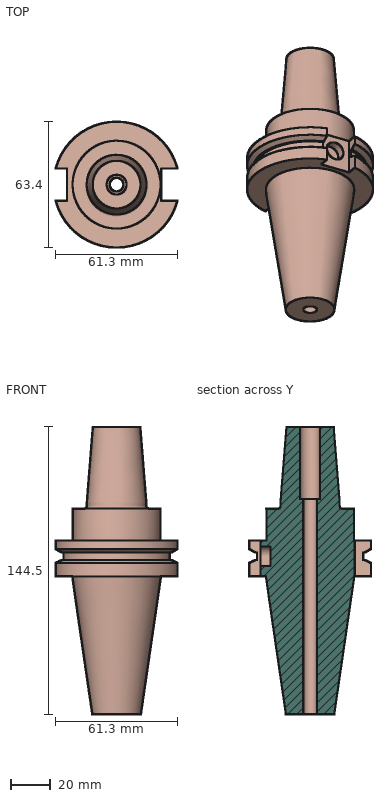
import cadquery as cq

total_height = 144.5
gauge_level = 68.5
flange_bottom = 69.3
groove_lower_edge = 76.1
groove_floor_bottom = 77.5
groove_floor_top = 81.3
groove_upper_edge = 83.0
flange_top = 87.4
collar_top = 103.4
nose_base_level = 106.5

gauge_diameter = 44.5
shank_taper = 7 / 24
flange_diameter = 63.4
groove_diameter = 55.9
groove_ledge_diameter = 57.5
collar_diameter = 44.2
nose_base_diameter = 30.0
nose_tip_diameter = 24.0
nose_fillet = 1.3

tool_bore_diameter = 10.0
tool_bore_depth = 36.1
through_bore_diameter = 6.8

slot_width = 16.2
left_slot_floor = 25.0
right_slot_floor = 22.5

side_hole_diameter = 9.5
side_hole_depth = 5.0
side_hole_level = (groove_floor_bottom + groove_floor_top) / 2


def make_body():
    """Revolve the outer profile of shank, flange, collar and nose."""
    shank_end_radius = (gauge_diameter - gauge_level * shank_taper) / 2
    gauge_radius = gauge_diameter / 2
    flange_radius = flange_diameter / 2
    groove_radius = groove_diameter / 2
    ledge_radius = groove_ledge_diameter / 2
    collar_radius = collar_diameter / 2
    nose_radius = nose_base_diameter / 2
    profile = (
        cq.Workplane("XZ")
        .lineTo(shank_end_radius, 0)
        .lineTo(gauge_radius, gauge_level)
        .lineTo(gauge_radius, flange_bottom)
        .lineTo(flange_radius, flange_bottom)
        .lineTo(flange_radius, groove_lower_edge)
        .lineTo(ledge_radius, groove_floor_bottom)
        .lineTo(groove_radius, groove_floor_bottom)
        .lineTo(groove_radius, groove_floor_top)
        .lineTo(ledge_radius, groove_floor_top)
        .lineTo(flange_radius, groove_upper_edge)
        .lineTo(flange_radius, flange_top)
        .lineTo(collar_radius, flange_top)
        .lineTo(collar_radius, collar_top)
        .lineTo(nose_radius + nose_fillet, collar_top)
        .radiusArc((nose_radius, collar_top + nose_fillet), nose_fillet)
        .lineTo(nose_radius, nose_base_level)
        .lineTo(nose_tip_diameter / 2, total_height)
        .lineTo(0, total_height)
        .close()
    )
    return profile.revolve(360, (0, 0, 0), (0, 1, 0))


def make_bore():
    """Through bore with a wider tool seat at the nose."""
    through_bore = cq.Workplane("XY").circle(through_bore_diameter / 2).extrude(total_height)
    tool_seat = (
        cq.Workplane("XY", origin=(0, 0, total_height))
        .circle(tool_bore_diameter / 2)
        .extrude(-tool_bore_depth)
    )
    return through_bore.union(tool_seat)


def make_slot(floor_distance, side):
    """Slot open to the outside; side is -1 for -X and +1 for +X."""
    slot_length = flange_diameter / 2
    slot_height = flange_top - flange_bottom
    center_x = side * (floor_distance + slot_length / 2)
    return (
        cq.Workplane("XY", origin=(center_x, 0, flange_bottom))
        .rect(slot_length, slot_width)
        .extrude(slot_height)
    )


def make_side_hole():
    """Radial hole drilled towards the axis from the left slot floor."""
    return (
        cq.Workplane("YZ", origin=(-left_slot_floor, 0, side_hole_level))
        .circle(side_hole_diameter / 2)
        .extrude(side_hole_depth)
    )


result = (
    make_body()
    .cut(make_bore())
    .cut(make_slot(left_slot_floor, -1))
    .cut(make_slot(right_slot_floor, 1))
    .cut(make_side_hole())
)